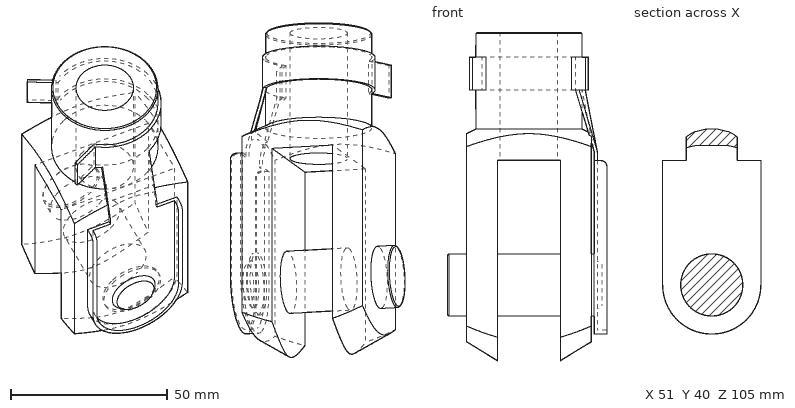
import cadquery as cq
import math

HEIGHT = 105.0
BODY_WIDTH = 40.0
SLOT_WIDTH = 20.1
SLOT_TOP = 64.0
NECK_DIAMETER = 34.0
NECK_BOTTOM = 74.1
BORE_DIAMETER = 18.4
EDGE_CHAMFER = 0.4
SHOULDER_SLOPE = 0.5
TIP_SLOPE = 0.61

PIN_DIAMETER = 20.0
PIN_Z = 24.3
PIN_LEFT = -26.0
HEAD_BASE_RADIUS = 7.6
HEAD_TOP_RADIUS = 6.5
HEAD_HEIGHT = 1.4

OVERALL_X = 51.0
SHEET = 1.0
CLIP_INNER_X = 20.9
CLIP_OUTER_X = PIN_LEFT + OVERALL_X
CLIP_RADIUS = 15.8
CLIP_WALL = 1.4
CLIP_CORNER_RADIUS = 2.0
RING_BOTTOM = 86.5
RING_TOP = 97.1
RING_END_Y = -10.1
TAB_LENGTH = 9.9
TAB_ANGLE = 63.5
TONGUE_WIDTH = 16.4
TONGUE_BEND_Z = 66.7

neck_radius = NECK_DIAMETER / 2
ring_radius = neck_radius + SHEET
half_body = BODY_WIDTH / 2
half_slot = SLOT_WIDTH / 2


def make_body():
    """Square fork trimmed by a cone at each end, with a bored round neck."""
    corner_radius = half_body * math.sqrt(2) + 1
    shoulder_z = NECK_BOTTOM - SHOULDER_SLOPE * (corner_radius - neck_radius)
    tip_z = TIP_SLOPE * (corner_radius - half_slot)
    envelope = (
        cq.Workplane("XZ")
        .polyline([
            (0, 0),
            (half_slot, 0),
            (corner_radius, tip_z),
            (corner_radius, shoulder_z),
            (neck_radius, NECK_BOTTOM),
            (0, NECK_BOTTOM),
        ])
        .close()
        .revolve(360, (0, 0), (0, 1))
    )
    block = cq.Workplane("XY").rect(BODY_WIDTH, BODY_WIDTH).extrude(NECK_BOTTOM)
    neck = (
        cq.Workplane("XY", origin=(0, 0, SLOT_TOP))
        .circle(neck_radius)
        .extrude(HEIGHT - SLOT_TOP)
        .faces(">Z")
        .chamfer(EDGE_CHAMFER)
    )
    slot = cq.Workplane("XY").rect(SLOT_WIDTH, BODY_WIDTH).extrude(SLOT_TOP)
    bore = cq.Workplane("XY").circle(BORE_DIAMETER / 2).extrude(HEIGHT)
    return block.intersect(envelope).union(neck).cut(slot).cut(bore)


def make_pin():
    """Cross pin with a chamfered free end and a conical riveted head."""
    head_x = CLIP_INNER_X + SHEET
    shank = (
        cq.Workplane("YZ", origin=(PIN_LEFT, 0, PIN_Z))
        .circle(PIN_DIAMETER / 2)
        .extrude(CLIP_INNER_X - PIN_LEFT)
        .faces("<X")
        .chamfer(EDGE_CHAMFER)
    )
    head = (
        cq.Workplane("YZ", origin=(head_x, 0, PIN_Z))
        .circle(HEAD_BASE_RADIUS)
        .workplane(offset=HEAD_HEIGHT)
        .circle(HEAD_TOP_RADIUS)
        .loft()
    )
    return shank.union(head)


def clip_outline(x, radius):
    """Sketch with a round bottom about the pin and a straight open top."""
    return (
        cq.Workplane("YZ", origin=(x, 0, 0))
        .moveTo(-radius, SLOT_TOP)
        .lineTo(-radius, PIN_Z)
        .threePointArc((0, PIN_Z - radius), (radius, PIN_Z))
        .lineTo(radius, SLOT_TOP)
        .close()
    )


def make_channel():
    """Plate on the pin end with a rim along both sides and the round bottom."""
    floor_x = CLIP_INNER_X + SHEET
    plate = clip_outline(CLIP_INNER_X, CLIP_RADIUS).extrude(CLIP_OUTER_X - CLIP_INNER_X)
    plate = plate.edges(">X and >Z").fillet(CLIP_CORNER_RADIUS)
    pocket = clip_outline(floor_x, CLIP_RADIUS - CLIP_WALL).extrude(CLIP_OUTER_X - floor_x)
    return plate.cut(pocket)


def make_ring():
    """Spring band around the neck, open toward -Y, with two flared tabs."""
    band_height = RING_TOP - RING_BOTTOM
    end_x = math.sqrt(neck_radius**2 - RING_END_Y**2)
    reach = 2 * ring_radius / neck_radius
    base = cq.Workplane("XY", origin=(0, 0, RING_BOTTOM))
    opening = (
        base.polyline([
            (0, 0),
            (-end_x * reach, RING_END_Y * reach),
            (end_x * reach, RING_END_Y * reach),
        ])
        .close()
        .extrude(band_height)
    )
    ring = base.circle(ring_radius).circle(neck_radius).extrude(band_height).cut(opening)

    angle = math.radians(TAB_ANGLE)
    run_x = TAB_LENGTH * math.cos(angle)
    run_y = -TAB_LENGTH * math.sin(angle)
    thick_x = SHEET * math.sin(angle)
    thick_y = SHEET * math.cos(angle)
    for side in (-1, 1):
        tab = (
            base.polyline([
                (side * end_x, RING_END_Y),
                (side * (end_x + run_x), RING_END_Y + run_y),
                (side * (end_x + run_x + thick_x), RING_END_Y + run_y + thick_y),
                (side * (end_x + thick_x), RING_END_Y + thick_y),
            ])
            .close()
            .extrude(band_height)
        )
        ring = ring.union(tab)
    return ring


def make_tongue():
    """Strip that runs from the curved band down to the flat channel plate."""
    half = TONGUE_WIDTH / 2
    plate_outer_x = CLIP_INNER_X + SHEET
    inner_x = math.sqrt(neck_radius**2 - half**2)
    outer_x = math.sqrt(ring_radius**2 - half**2)
    slope = (
        cq.Workplane("XY", origin=(0, 0, TONGUE_BEND_Z))
        .moveTo(CLIP_INNER_X, -half)
        .lineTo(plate_outer_x, -half)
        .lineTo(plate_outer_x, half)
        .lineTo(CLIP_INNER_X, half)
        .close()
        .workplane(offset=RING_BOTTOM - TONGUE_BEND_Z)
        .moveTo(inner_x, -half)
        .lineTo(outer_x, -half)
        .threePointArc((ring_radius, 0), (outer_x, half))
        .lineTo(inner_x, half)
        .threePointArc((neck_radius, 0), (inner_x, -half))
        .close()
        .loft(ruled=True)
    )
    foot = (
        cq.Workplane("XY", origin=(CLIP_INNER_X + SHEET / 2, 0, SLOT_TOP))
        .rect(SHEET, TONGUE_WIDTH)
        .extrude(TONGUE_BEND_Z - SLOT_TOP)
    )
    return slope.union(foot)


result = (
    make_body()
    .union(make_pin())
    .union(make_channel())
    .union(make_ring())
    .union(make_tongue())
)